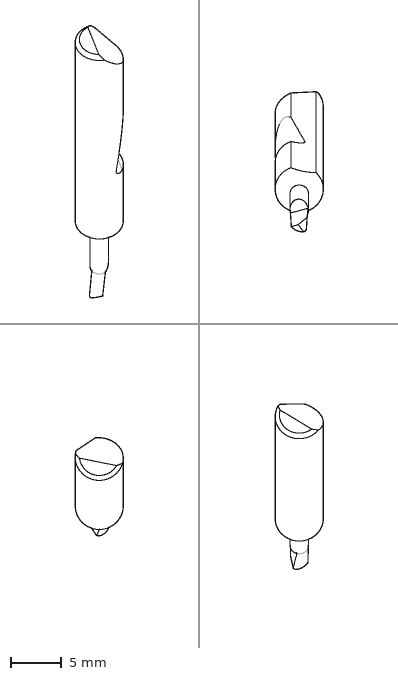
import cadquery as cq
import math

total_length = 38.1
shank_radius = 2.38
neck_radius = 0.9
tip_radius = 1.01
blade_top = 4.1
shank_bottom = 11.0
neck_top = shank_bottom - (shank_radius - neck_radius)
top_chamfer = 0.42

slope_start_y = -0.6

flat_distance = 2.02
flat_direction = 142.5

notch_top = 28.3
notch_bottom = 19.5
notch_floor_y = 1.1
notch_radius = 0.85

rake_tip_corner = (-tip_radius, -0.05)
rake_top_corner = (-0.8, -0.4)
rake_top_back = (0.8, 0.4)
clearance_tip_end = (-0.08, -tip_radius)
clearance_top_end = (0.3, -0.88)
runout_height = 0.88
runout_depth = 1.0
end_chamfer = 0.85
end_relief = 0.08

reach = 4 * shank_radius


def turned_body():
    """Shank, cone, neck and slightly flared tip, revolved about Z."""
    profile = [
        (0, 0),
        (tip_radius, 0),
        (neck_radius, blade_top),
        (neck_radius, neck_top),
        (shank_radius, shank_bottom),
        (shank_radius, total_length - top_chamfer),
        (shank_radius - top_chamfer, total_length),
        (0, total_length),
    ]
    return cq.Workplane("XZ").polyline(profile).close().revolve(360, (0, 0), (0, 1))


def cut_along_x(outline):
    """Prism through the whole width from a closed outline in the YZ plane."""
    return outline.close().extrude(reach, both=True)


def top_slope():
    outline = cq.Workplane("YZ").polyline([
        (slope_start_y, total_length),
        (slope_start_y + reach, total_length - reach),
        (slope_start_y + reach, total_length),
    ])
    return cut_along_x(outline)


def side_flat():
    return (
        cq.Workplane("XY")
        .box(reach, reach, total_length, centered=(False, True, False))
        .translate((flat_distance, 0, 0))
        .rotate((0, 0, 0), (0, 0, 1), flat_direction)
    )


def clamping_notch():
    """Shallow ramp that ends in a quarter-round shoulder."""
    arc_center_y = notch_floor_y + notch_radius
    arc_center_z = notch_bottom + notch_radius
    arc_offset = notch_radius * math.sqrt(0.5)
    outline = (
        cq.Workplane("YZ")
        .moveTo(shank_radius, notch_top)
        .lineTo(notch_floor_y, arc_center_z)
        .threePointArc((arc_center_y - arc_offset, arc_center_z - arc_offset), (arc_center_y, notch_bottom))
        .lineTo(reach, notch_bottom)
        .lineTo(reach, notch_top)
    )
    return cut_along_x(outline)


def side_of_line(start, end):
    """Large rectangle lying to the left of the line from start to end."""
    length = math.dist(start, end)
    along_x = (end[0] - start[0]) / length * reach
    along_y = (end[1] - start[1]) / length * reach
    first = (start[0] - along_x, start[1] - along_y)
    last = (start[0] + along_x, start[1] + along_y)
    return [first, last, (last[0] - along_y, last[1] + along_x), (first[0] - along_y, first[1] + along_x)]


def ruled_cutter(low_line, low_z, high_line, high_z):
    """Cutter whose working face is ruled between two lines at different heights."""
    return (
        cq.Workplane("XY", origin=(0, 0, low_z))
        .polyline(side_of_line(*low_line))
        .close()
        .workplane(offset=high_z - low_z)
        .polyline(side_of_line(*high_line))
        .close()
        .loft(ruled=True)
    )


def tip_faces():
    """Rake face with its sloping run-out, and the clearance face below the edge."""
    rake_low = (rake_tip_corner, (tip_radius, rake_tip_corner[1]))
    rake_high = (rake_top_corner, rake_top_back)
    runout = tuple((x, y + runout_depth) for x, y in rake_high)
    clearance_low = (clearance_tip_end, rake_tip_corner)
    clearance_high = (clearance_top_end, rake_top_corner)
    return [
        ruled_cutter(rake_low, 0, rake_high, blade_top),
        ruled_cutter(rake_high, blade_top, runout, blade_top + runout_height),
        ruled_cutter(clearance_low, 0, clearance_high, blade_top),
    ]


def tip_end_cuts():
    """45 degree corner on the +X side and slight relief of the end face."""
    corner = (
        cq.Workplane("XZ")
        .polyline([
            (tip_radius - end_chamfer, 0),
            (tip_radius, 0),
            (tip_radius, end_chamfer),
        ])
        .close()
        .extrude(reach, both=True)
    )
    relief = cut_along_x(cq.Workplane("YZ").polyline([
        (rake_tip_corner[1], 0),
        (-tip_radius, 0),
        (-tip_radius, end_relief),
    ]))
    return [corner, relief]


result = turned_body()
for cutter in [top_slope(), side_flat(), clamping_notch(), *tip_faces(), *tip_end_cuts()]:
    result = result.cut(cutter)